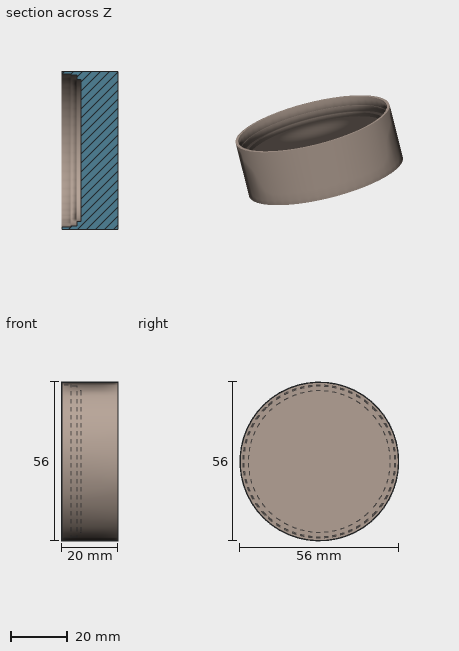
import cadquery as cq

outer_diameter = 56.0
cap_length = 20.0

mouth_step = (54.0, 3.25)
middle_step = (53.2, 5.4)
inner_step = (50.0, 6.8)


def cylinder_from_rim(diameter, length):
    """Cylinder on the X axis, running from the rim plane toward +X."""
    return cq.Workplane("YZ").circle(diameter / 2).extrude(length)


cap = cylinder_from_rim(outer_diameter, cap_length)
for step_diameter, step_depth in (mouth_step, middle_step, inner_step):
    cap = cap.cut(cylinder_from_rim(step_diameter, step_depth))

result = cap.translate((-cap_length / 2, 0, 0))